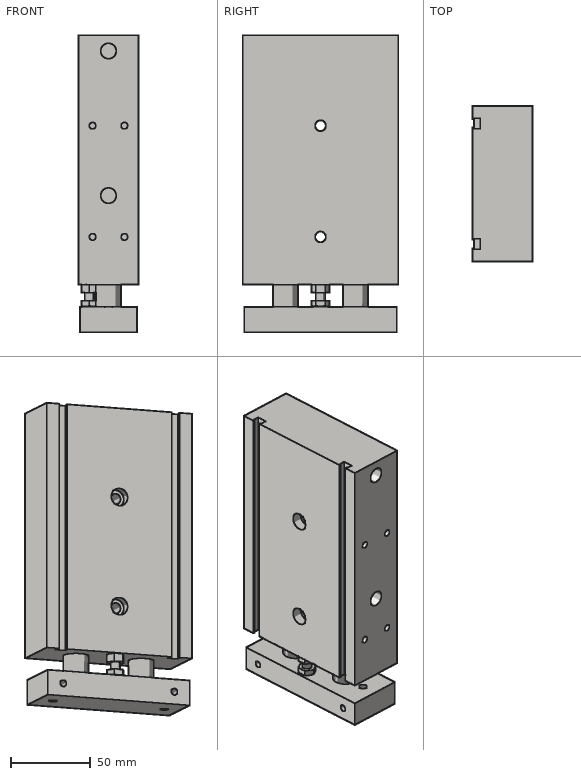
import cadquery as cq
import math

housing_width = 38.0
housing_length = 98.0
housing_height = 157.0
plate_width = 36.0
plate_length = 96.0
plate_height = 16.0
gap = 14.0
housing_base = plate_height + gap
housing_top = housing_base + housing_height
left_face = -housing_width / 2
front_face = -housing_length / 2

slot_offset = 38.0
slot_mouth_width = 5.2
slot_mouth_depth = 1.3
slot_pocket_width = 6.6
slot_depth = 5.0

mount_heights = [housing_base + 30.0, housing_base + 100.0]
mount_hole_diameter = 6.6
mount_bore_diameter = 11.0
mount_bore_depth = 6.6
port_heights = [housing_base + 56.0, housing_top - 10.0]
port_diameter = 9.73
port_depth = 10.0
side_hole_diameter = 4.13
side_hole_spacing = 20.0
side_hole_depth = 10.0

rod_diameter = 16.0
rod_spacing = 44.0
plate_upright_hole_diameter = 5.0
plate_side_hole_diameter = 4.13
plate_hole_spacing = 75.0
plate_side_hole_depth = 10.0

bolt_x = -12.0
bolt_diameter = 6.0
hex_flats = 10.0
hex_corners = hex_flats / math.cos(math.radians(30))
head_height = 5.0
nut_height = 4.0
nut_foot_diameter = 9.0
nut_chamfer_angle = 30.0


def box_on(width, length, height, base):
    """Box centred on the Z axis, standing at the given height."""
    return cq.Workplane("XY").workplane(offset=base).rect(width, length).extrude(height)


def hole_along_x(start_x, y, z, diameter, depth):
    """Cylinder that runs from start_x in the +X direction."""
    return cq.Workplane("YZ", origin=(start_x, y, z)).circle(diameter / 2).extrude(depth)


def hole_along_y(x, start_y, z, diameter, depth):
    """Cylinder that runs from start_y in the +Y direction."""
    return cq.Workplane("XZ", origin=(x, start_y, z)).circle(diameter / 2).extrude(-depth)


def cut_sensor_slot(body, y):
    """T-shaped slot over the full height of the -X face."""
    mouth = cq.Workplane("XY").box(
        slot_depth, slot_mouth_width, housing_height, centered=(False, True, False)
    )
    pocket = cq.Workplane("XY").box(
        slot_depth - slot_mouth_depth, slot_pocket_width, housing_height, centered=(False, True, False)
    )
    slot = mouth.union(pocket.translate((slot_mouth_depth, 0, 0)))
    return body.cut(slot.translate((left_face, y, housing_base)))


def make_housing():
    body = box_on(housing_width, housing_length, housing_height, housing_base)
    for y in (-slot_offset, slot_offset):
        body = cut_sensor_slot(body, y)
    for z in mount_heights:
        body = body.cut(hole_along_x(left_face, 0, z, mount_hole_diameter, housing_width))
        body = body.cut(hole_along_x(left_face, 0, z, mount_bore_diameter, mount_bore_depth))
        for x in (-side_hole_spacing / 2, side_hole_spacing / 2):
            body = body.cut(hole_along_y(x, front_face, z, side_hole_diameter, side_hole_depth))
    for z in port_heights:
        body = body.cut(hole_along_y(0, front_face, z, port_diameter, port_depth))
    return body


def make_rod_assembly():
    """End plate with the two rods that reach up to the housing."""
    body = box_on(plate_width, plate_length, plate_height, 0)
    rods = (
        cq.Workplane("XY")
        .pushPoints([(0, -rod_spacing / 2), (0, rod_spacing / 2)])
        .circle(rod_diameter / 2)
        .extrude(housing_base)
    )
    body = body.union(rods)
    for y in (-plate_hole_spacing / 2, plate_hole_spacing / 2):
        upright_hole = cq.Workplane("XY").center(0, y).circle(plate_upright_hole_diameter / 2)
        body = body.cut(upright_hole.extrude(plate_height))
        side_hole = hole_along_x(
            -plate_width / 2, y, plate_height / 2, plate_side_hole_diameter, plate_side_hole_depth
        )
        body = body.cut(side_hole)
    return body


def hex_prism(base, height):
    """Hexagon on the bolt axis with two flats square to X."""
    return (
        cq.Workplane("XY", origin=(bolt_x, 0, base))
        .transformed(rotate=(0, 0, 90))
        .polygon(6, hex_corners)
        .extrude(height)
    )


def make_nut():
    """Hexagon nut on the end plate, its lower corners turned to a cone."""
    foot_radius = nut_foot_diameter / 2
    top_radius = foot_radius + nut_height / math.tan(math.radians(nut_chamfer_angle))
    cone = (
        cq.Workplane("XZ", origin=(bolt_x, 0, plate_height))
        .polyline([(0, 0), (foot_radius, 0), (top_radius, nut_height), (0, nut_height)])
        .close()
        .revolve(360, (0, 0, 0), (0, 1, 0))
    )
    return hex_prism(plate_height, nut_height).intersect(cone)


def make_stop_bolt():
    """Bolt with its head against the housing and its nut on the end plate."""
    shank = cq.Workplane("XY", origin=(bolt_x, 0, plate_height)).circle(bolt_diameter / 2).extrude(gap)
    head = hex_prism(housing_base - head_height, head_height)
    return shank.union(head).union(make_nut())


housing = make_housing()
rod_assembly = make_rod_assembly()
stop_bolt = make_stop_bolt()

result = cq.Compound.makeCompound([housing.val(), rod_assembly.val(), stop_bolt.val()])